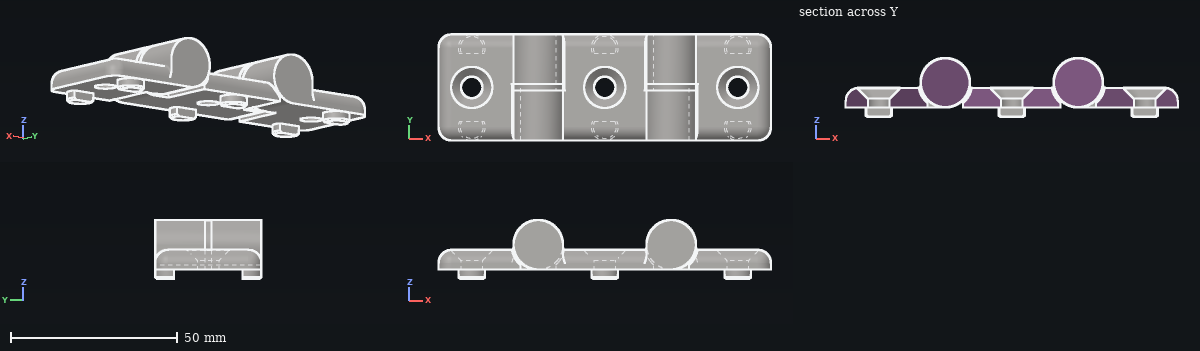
import cadquery as cq
length = 100.0
width = 32.0
plate_height = 6.0
edge_radius = 4.0

axis_x = 20.0
knuckle_radius = 7.5
axis_z = knuckle_radius
root_fillet_radius = 0.5
knuckle_clearance = 0.55
lip_offset = 5.3
spacer_diameter = 14.8
spacer_thickness = 2.0

screw_x = 40.0
hole_diameter = 6.4
countersink_diameter = 12.4
countersink_recess = 0.3

tab_height = 2.8
tab_diameter = 8.1
tab_outer_y = 15.95
tab_inner_y = 10.25
tab_chamfer = 0.6

half_length = length / 2
half_width = width / 2
half_spacer = spacer_thickness / 2
clearance_radius = knuckle_radius + knuckle_clearance
wall_x = axis_x - knuckle_radius
lip_x = axis_x - lip_offset
root_overhang = 2 * root_fillet_radius
tolerance = 0.01


def box(x_min, x_max, y_min, y_max, z_min, z_max):
    """Block between the given limits along each axis."""
    size = (x_max - x_min, y_max - y_min, z_max - z_min)
    return cq.Workplane("XY").box(*size, centered=False).translate((x_min, y_min, z_min))


def disc(radius, y_min, y_max):
    """Cylinder on the right hinge axis, from y_min to y_max."""
    return (
        cq.Workplane("XZ", origin=(axis_x, y_min, axis_z))
        .circle(radius)
        .extrude(y_min - y_max)
    )


def mirror_x(body):
    """Mirror image on the other side of the hinge's middle plane."""
    return body.mirror("YZ")


def add_root(plate, face_x, inner_x, inner_y, side):
    """Add the flat-walled root of a knuckle to a plate, with a fillet where they meet.

    The wall runs from inner_y to past the plate's side (-1 front, 1 back), so that the
    fillet follows the whole rounded edge of the plate before the overhang is trimmed.
    """
    x_min, x_max = sorted((face_x, inner_x))
    y_min, y_max = sorted((inner_y, side * (half_width + root_overhang)))
    wall = box(x_min, x_max, y_min, y_max, -root_overhang, axis_z)
    y_near, y_far = sorted((inner_y, side * half_width))
    corner = cq.selectors.BoxSelector(
        (face_x - tolerance, y_near - tolerance, -root_overhang - tolerance),
        (face_x + tolerance, y_far + tolerance, plate_height + tolerance),
        boundingbox=True,
    )
    return plate.union(wall).edges(corner).fillet(root_fillet_radius)


def trim(plate):
    """Remove everything below the plate and beyond its sides."""
    return plate.intersect(box(-half_length, half_length, -half_width, half_width, 0, axis_z))


def clearance(y_min, y_max):
    """Space on the right axis that the opposite knuckle and the spacer turn in."""
    lip_gap = box(lip_x, axis_x + lip_offset, y_min, y_max, 0, axis_z)
    return disc(clearance_radius, y_min, y_max).union(lip_gap)


def screw_hole(x):
    """Countersunk through hole whose cone starts below a shallow cylindrical recess."""
    depth = (countersink_diameter - hole_diameter) / 2
    bore = cq.Workplane("XY").circle(hole_diameter / 2).extrude(plate_height)
    recess = (
        cq.Workplane("XY", origin=(0, 0, plate_height))
        .circle(countersink_diameter / 2)
        .extrude(-countersink_recess)
    )
    cone = cq.Workplane(
        cq.Solid.makeCone(
            countersink_diameter / 2,
            hole_diameter / 2,
            depth,
            pnt=(0, 0, plate_height - countersink_recess),
            dir=(0, 0, -1),
        )
    )
    return bore.union(recess).union(cone).translate((x, 0, 0))


def tabs(x):
    """Pair of chamfered round tabs under the plate, each flat on its inner side."""
    center_y = tab_outer_y - tab_diameter / 2
    post = (
        cq.Workplane("XY", origin=(x, center_y, 0))
        .circle(tab_diameter / 2)
        .extrude(-tab_height)
        .faces("<Z")
        .chamfer(tab_chamfer)
    )
    keep = box(x - tab_diameter, x + tab_diameter, tab_inner_y, tab_outer_y, -tab_height, 0)
    tab = post.intersect(keep)
    return tab.union(tab.mirror("XZ"))


def make_middle_leaf():
    """Leaf with the two front knuckles."""
    leaf = box(-axis_x, axis_x, -half_width, half_width, -root_overhang, plate_height)
    leaf = leaf.edges("|X and >Z").fillet(edge_radius)
    for side in (-1, 1):
        leaf = add_root(leaf, side * wall_x, side * axis_x, -half_spacer, -1)
    leaf = trim(leaf)
    gap = clearance(-half_spacer, half_width)
    barrel = disc(knuckle_radius, -half_width, -half_spacer)
    leaf = leaf.cut(gap).cut(mirror_x(gap)).union(barrel).union(mirror_x(barrel))
    return leaf.cut(screw_hole(0)).union(tabs(0))


def make_end_leaf():
    """Right leaf with the back knuckle, whose flat wall faces outward."""
    leaf = box(axis_x, half_length, -half_width, half_width, -root_overhang, plate_height)
    leaf = leaf.edges("|Z and >X").fillet(edge_radius)
    leaf = leaf.faces(">Z").edges("not <X").fillet(edge_radius)
    leaf = trim(add_root(leaf, axis_x + knuckle_radius, axis_x, half_spacer, 1))
    barrel = disc(knuckle_radius, half_spacer, half_width)
    leaf = leaf.cut(clearance(-half_width, half_spacer)).union(barrel)
    return leaf.cut(screw_hole(screw_x)).union(tabs(screw_x))


def make_spacer():
    """Disc between the two knuckles on the right axis."""
    return disc(spacer_diameter / 2, -half_spacer, half_spacer)


middle_leaf = make_middle_leaf()
right_leaf = make_end_leaf()
right_spacer = make_spacer()

end_leaves = [right_leaf, mirror_x(right_leaf)]
spacers = [right_spacer, mirror_x(right_spacer)]

bodies = [middle_leaf, *end_leaves, *spacers]
result = cq.Compound.makeCompound([body.solids().val() for body in bodies])